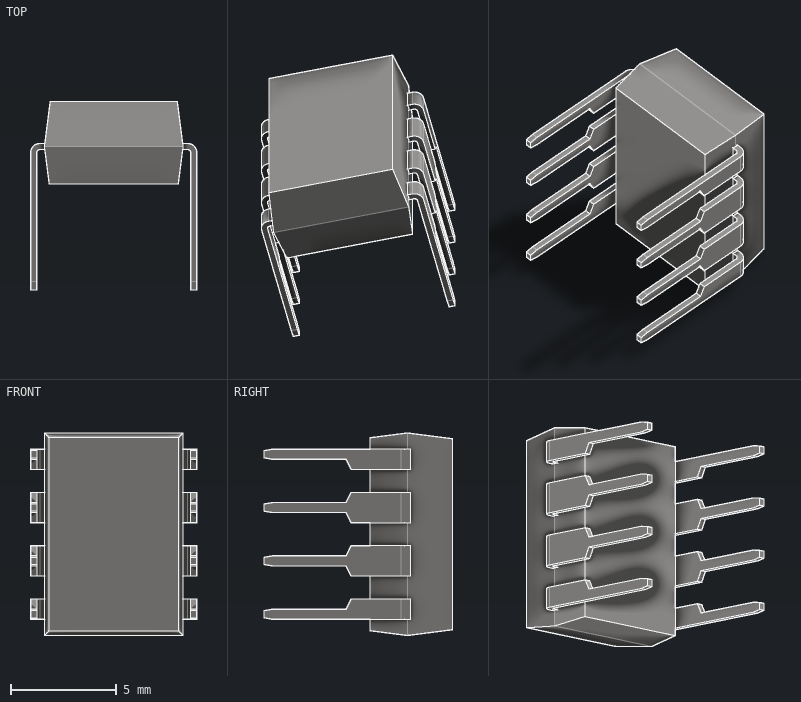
import cadquery as cq
import math

PACKAGE_WIDTH = 6.61
PACKAGE_LENGTH = 9.65
CAP_DEPTH = 2.15
BASE_DEPTH = 1.79
DRAFT_ANGLE = 7.3

LEADS_PER_ROW = 4
LEAD_PITCH = 2.54
LEAD_SPAN = 7.92
LEAD_THICKNESS = 0.3
BEND_OUTER_RADIUS = 0.44
BEND_INNER_RADIUS = BEND_OUTER_RADIUS - LEAD_THICKNESS
LEAD_EMBEDDED = 0.19

SHOULDER_WIDTH = 1.46
BLADE_WIDTH = 0.49
TIP_WIDTH = 0.35
SHOULDER_END = -2.68
BLADE_START = -2.92
TIP_START = -6.42
TIP_END = -6.83


def drafted_half(depth):
    """Half of the package, tapering from the parting plane toward y = depth."""
    inset = abs(depth) * math.tan(math.radians(DRAFT_ANGLE))
    return (
        cq.Workplane("XZ")
        .rect(PACKAGE_WIDTH, PACKAGE_LENGTH)
        .workplane(offset=-depth)
        .rect(PACKAGE_WIDTH - 2 * inset, PACKAGE_LENGTH - 2 * inset)
        .loft(ruled=True)
    )


def bent_strip():
    """Side profile of a -X lead, centred on the parting plane and swept over the shoulder width."""
    outer_x = -LEAD_SPAN / 2
    inner_x = outer_x + LEAD_THICKNESS
    root_x = -PACKAGE_WIDTH / 2 + LEAD_EMBEDDED
    upper_y = LEAD_THICKNESS / 2
    lower_y = -LEAD_THICKNESS / 2
    bend_x = outer_x + BEND_OUTER_RADIUS
    bend_y = upper_y - BEND_OUTER_RADIUS
    diagonal = math.sqrt(0.5)
    outer_mid = (bend_x - BEND_OUTER_RADIUS * diagonal, bend_y + BEND_OUTER_RADIUS * diagonal)
    inner_mid = (bend_x - BEND_INNER_RADIUS * diagonal, bend_y + BEND_INNER_RADIUS * diagonal)
    return (
        cq.Workplane("XY")
        .moveTo(root_x, upper_y)
        .lineTo(bend_x, upper_y)
        .threePointArc(outer_mid, (outer_x, bend_y))
        .lineTo(outer_x, TIP_END)
        .lineTo(inner_x, TIP_END)
        .lineTo(inner_x, bend_y)
        .threePointArc(inner_mid, (bend_x, lower_y))
        .lineTo(root_x, lower_y)
        .close()
        .extrude(SHOULDER_WIDTH / 2, both=True)
    )


def lead_outline(upper_shoulder, lower_shoulder):
    """Lead shape across its width; each shoulder is the reach from the blade centre along Z."""
    blade = BLADE_WIDTH / 2
    tip = TIP_WIDTH / 2
    clear_y = LEAD_THICKNESS
    points = [
        (clear_y, upper_shoulder),
        (SHOULDER_END, upper_shoulder),
        (BLADE_START, blade),
        (TIP_START, blade),
        (TIP_END, tip),
        (TIP_END, -tip),
        (TIP_START, -blade),
        (BLADE_START, -blade),
        (SHOULDER_END, -lower_shoulder),
        (clear_y, -lower_shoulder),
    ]
    return cq.Workplane("YZ").polyline(points).close().extrude(LEAD_SPAN, both=True)


def make_lead(row_index):
    """Lead of the -X row; the two end leads have no shoulder on the side facing outward."""
    is_lowest = row_index == 0
    is_highest = row_index == LEADS_PER_ROW - 1
    upper_shoulder = (BLADE_WIDTH if is_highest else SHOULDER_WIDTH) / 2
    lower_shoulder = (BLADE_WIDTH if is_lowest else SHOULDER_WIDTH) / 2
    height = (row_index - (LEADS_PER_ROW - 1) / 2) * LEAD_PITCH
    lead = bent_strip().intersect(lead_outline(upper_shoulder, lower_shoulder))
    return lead.translate((0, 0, height))


def make_leads():
    """Both rows of leads, the +X row mirroring the -X row."""
    leads = []
    for row_index in range(LEADS_PER_ROW):
        lead = make_lead(row_index)
        leads.append(lead)
        leads.append(lead.mirror("YZ"))
    return leads


def make_package(leads):
    """Moulded package with a matching pocket around each lead root."""
    package = drafted_half(CAP_DEPTH).union(drafted_half(-BASE_DEPTH))
    for lead in leads:
        package = package.cut(lead)
    return package


leads = make_leads()
package = make_package(leads)

result = cq.Compound.makeCompound([package.solids().val(), *[lead.solids().val() for lead in leads]])